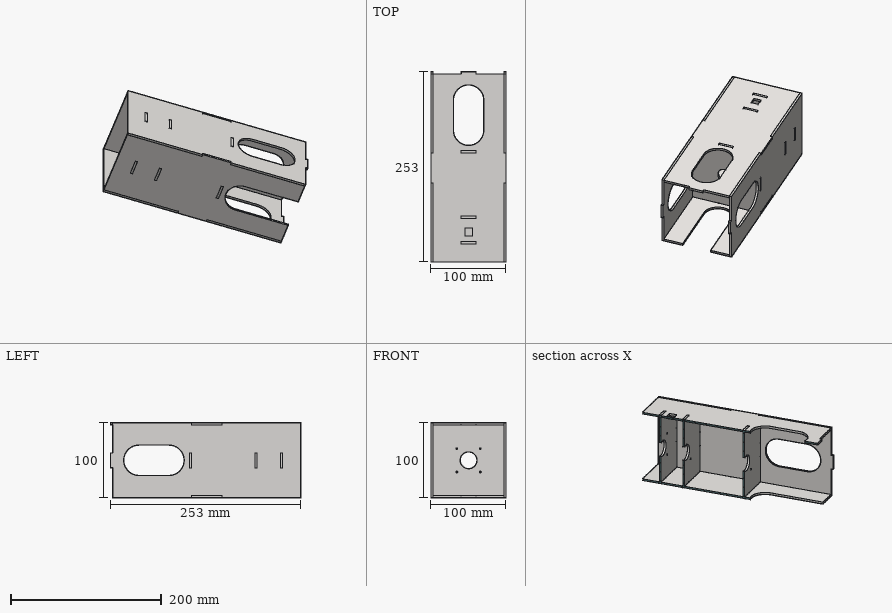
import cadquery as cq

LENGTH = 253.0
WIDTH = 100.0
SHEET = 3.0
PANEL_LENGTH = LENGTH - SHEET
INNER = WIDTH - 2 * SHEET
FRONT = -LENGTH / 2

TAB_WIDTH = 20.0
MOTOR_PLATE_START = FRONT + 24.0
MIDDLE_DIVIDER_START = FRONT + 58.0
REAR_DIVIDER_START = FRONT + 145.0
DIVIDER_STARTS = [MOTOR_PLATE_START, MIDDLE_DIVIDER_START, REAR_DIVIDER_START]
WING_LENGTH = 40.0
WING_START = REAR_DIVIDER_START - WING_LENGTH

WINDOW_LENGTH = 80.0
WINDOW_WIDTH = 40.0
WINDOW_CENTER = FRONT + 195.0
PORT_SIZE = 10.0
PORT_CENTER = FRONT + 40.0
SHAFT_DIAMETER = 22.0
SCREW_DIAMETER = 2.0
SCREW_SPACING = 31.0


def box(size_x, size_y, size_z, y_start):
    """Box centred on X and Z that starts at y_start."""
    return cq.Workplane("XY").box(size_x, size_y, size_z).translate((0, y_start + size_y / 2, 0))


def window():
    """Round-ended opening along Y."""
    return (
        cq.Workplane("XY")
        .center(0, WINDOW_CENTER)
        .slot2D(WINDOW_LENGTH, WINDOW_WIDTH, 90)
        .extrude(SHEET, both=True)
    )


def flat_panel(width, has_tab):
    """Panel lying flat on Z = 0, with its window and divider slots."""
    panel = box(width, PANEL_LENGTH, SHEET, FRONT)
    if has_tab:
        panel = panel.union(box(TAB_WIDTH, SHEET, SHEET, FRONT + PANEL_LENGTH))
    panel = panel.cut(window())
    for y_start in DIVIDER_STARTS:
        panel = panel.cut(box(TAB_WIDTH, SHEET, SHEET, y_start))
    return panel


def cover(has_tab):
    """Floor or roof: fits between the walls, with wings that fill the wall notches."""
    wings = box(WIDTH, WING_LENGTH, SHEET, WING_START)
    return flat_panel(INNER, has_tab).union(wings)


def rear_notch():
    """Cutter that opens the floor window out through the rear edge."""
    return box(WINDOW_WIDTH, FRONT + PANEL_LENGTH - WINDOW_CENTER, SHEET, WINDOW_CENTER)


def wall():
    """Full-height side wall, notched on both long edges for the wings."""
    panel = flat_panel(WIDTH, True)
    notch = box(2 * SHEET, WING_LENGTH, SHEET, WING_START)
    for side in (-1, 1):
        panel = panel.cut(notch.translate((side * WIDTH / 2, 0, 0)))
    return panel.rotate((0, 0, 0), (0, 1, 0), 90)


def screw_holes(y_start, z_positions):
    """Pairs of screw holes, one pair at each height."""
    points = [(side * SCREW_SPACING / 2, z) for side in (-1, 1) for z in z_positions]
    return (
        cq.Workplane("XZ", origin=(0, y_start, 0))
        .pushPoints(points)
        .circle(SCREW_DIAMETER / 2)
        .extrude(-SHEET)
    )


def divider(y_start, screw_heights):
    """Plate across the tube, with a shaft hole and a tab through each of the four panels."""
    plate = box(INNER, SHEET, INNER, y_start)
    plate = plate.union(box(WIDTH, SHEET, TAB_WIDTH, y_start))
    plate = plate.union(box(TAB_WIDTH, SHEET, WIDTH, y_start))
    shaft_hole = cq.Workplane("XZ", origin=(0, y_start, 0)).circle(SHAFT_DIAMETER / 2).extrude(-SHEET)
    return plate.cut(shaft_hole).cut(screw_holes(y_start, screw_heights))


panel_offset = (WIDTH - SHEET) / 2

floor = cover(False).cut(rear_notch()).translate((0, 0, -panel_offset))
port = box(PORT_SIZE, PORT_SIZE, SHEET, PORT_CENTER - PORT_SIZE / 2)
roof = cover(True).cut(port).translate((0, 0, panel_offset))
walls = [wall().translate((side * panel_offset, 0, 0)) for side in (-1, 1)]

upper_screws = SCREW_SPACING / 2
lower_screws = -SCREW_SPACING / 2
motor_plate = divider(MOTOR_PLATE_START, [lower_screws, upper_screws])
rear_dividers = [
    divider(y_start, [lower_screws]) for y_start in (MIDDLE_DIVIDER_START, REAR_DIVIDER_START)
]

result = cq.Compound.makeCompound(
    [
        floor.val(),
        roof.val(),
        *[side_wall.val() for side_wall in walls],
        motor_plate.val(),
        *[plate.val() for plate in rear_dividers],
    ]
)